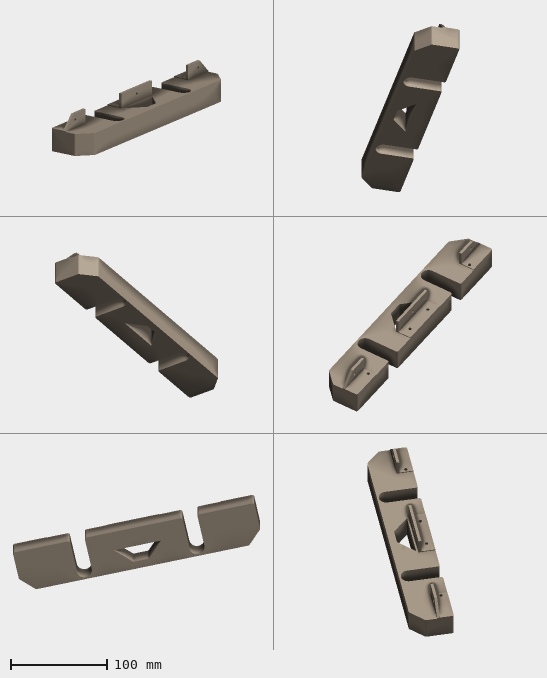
import cadquery as cq

bar_width = 45.0
bar_length = 257.0
bar_height = 24.0
corner_chamfer = 15.0
edge_radius = 2.0
half_length = bar_length / 2

slot_width = 16.0
slot_reach = 43.0
slot_offset = 60.0

window_near_x = 20.0
window_far_x = 37.0
window_half_length = 25.0
window_far_half_length = window_half_length - (window_far_x - window_near_x)

pad_height = 1.0
pad_width = 15.0
tab_thickness = 3.0
bracket_width = pad_width + tab_thickness
pad_top = bar_height + pad_height
tab_height = 15.0
total_height = pad_top + tab_height
middle_bracket_length = 55.0
end_bracket_length = 36.0
end_bracket_inner_y = half_length - end_bracket_length

hole_diameter = 3.5
pad_hole_depth = 10.0
middle_pad_hole_offset = 17.0
pad_hole_edge_distance = 3.5
end_pad_hole_offset = end_bracket_inner_y + pad_hole_edge_distance
tab_hole_end_distance = 18.0
tab_hole_height = pad_top + tab_height / 2
end_tab_hole_offset = half_length - tab_hole_end_distance


def make_slot(center_y):
    """Round-ended cutter entering from the X = 0 side."""
    radius = slot_width / 2
    arc_start_x = slot_reach - radius
    return (
        cq.Workplane("XY")
        .moveTo(0, center_y - radius)
        .lineTo(arc_start_x, center_y - radius)
        .threePointArc((slot_reach, center_y), (arc_start_x, center_y + radius))
        .lineTo(0, center_y + radius)
        .close()
        .extrude(total_height)
    )


def make_bar(height):
    """Slotted bar outline with chamfered far corners and rounded vertical corners."""
    bar = cq.Workplane("XY").box(bar_width, bar_length, height, centered=(False, True, False))
    bar = bar.edges("|Z and >X").chamfer(corner_chamfer)
    bar = bar.edges("|Z").edges("not(<X)").fillet(edge_radius)
    for side in (-1, 1):
        bar = bar.cut(make_slot(side * slot_offset))
    return bar.edges("|Z and <X").fillet(edge_radius)


def make_window():
    """Cutter for the window behind the middle bracket."""
    return (
        cq.Workplane("XY")
        .polyline([
            (window_near_x, -window_half_length),
            (window_far_x, -window_far_half_length),
            (window_far_x, window_far_half_length),
            (window_near_x, window_half_length),
        ])
        .close()
        .extrude(bar_height)
    )


def make_bracket(center_y, length):
    """Pad and upright tab forming an L-shaped section along Y."""
    return (
        cq.Workplane("XZ", origin=(0, center_y + length / 2, 0))
        .polyline([
            (0, 0),
            (bracket_width, 0),
            (bracket_width, total_height),
            (pad_width, total_height),
            (pad_width, pad_top),
            (0, pad_top),
        ])
        .close()
        .extrude(length)
    )


def make_end_bracket(side):
    """End bracket: the tab slopes down to the pad, the pad follows the bar's rounded corner."""
    bracket = make_bracket(side * (half_length - end_bracket_length / 2), end_bracket_length)
    slope = (
        cq.Workplane("YZ")
        .polyline([
            (side * half_length, pad_top),
            (side * half_length, total_height),
            (side * (half_length - tab_height), total_height),
        ])
        .close()
        .extrude(bracket_width)
    )
    return bracket.cut(slope).intersect(make_bar(total_height))


def drill_pads(body, positions_y):
    """Blind holes down into the pads."""
    points = [(pad_width / 2, y) for y in positions_y]
    drills = (
        cq.Workplane("XY", origin=(0, 0, pad_top))
        .pushPoints(points)
        .circle(hole_diameter / 2)
        .extrude(-pad_hole_depth)
    )
    return body.cut(drills)


def drill_tabs(body, positions_y):
    """Holes along X through the tabs."""
    drills = (
        cq.Workplane("YZ")
        .pushPoints([(y, tab_hole_height) for y in positions_y])
        .circle(hole_diameter / 2)
        .extrude(bar_width)
    )
    return body.cut(drills)


pad_holes_y = []
tab_holes_y = [0]
result = make_bar(bar_height).cut(make_window())
result = result.union(make_bracket(0, middle_bracket_length))
for side in (-1, 1):
    result = result.union(make_end_bracket(side))
    pad_holes_y += [side * middle_pad_hole_offset, side * end_pad_hole_offset]
    tab_holes_y.append(side * end_tab_hole_offset)
result = drill_pads(result, pad_holes_y)
result = drill_tabs(result, tab_holes_y)